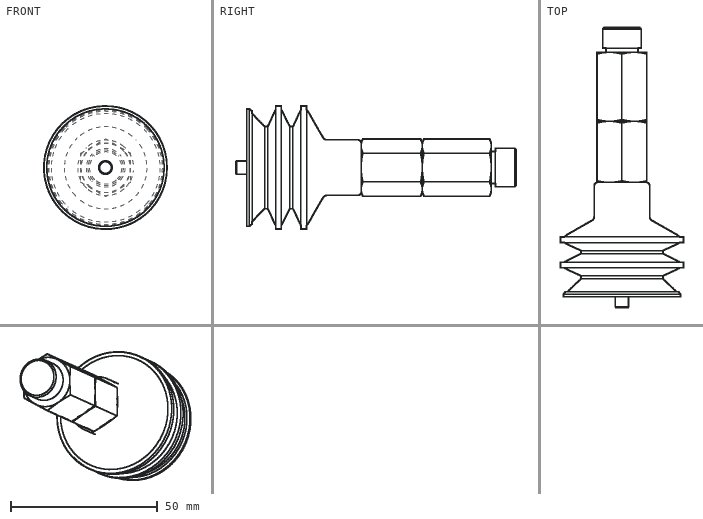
import cadquery as cq
import math

TOTAL_LENGTH = 95.6
BACK_Y = TOTAL_LENGTH / 2

HEAD_RADIUS = 13.2 / 2
HEAD_CHAMFER = 0.6
HEAD_END = 7.1
GROOVE_RADIUS = 11.0 / 2

HEX_FLATS = 17.0
HEX_CORNERS = HEX_FLATS / math.cos(math.pi / 6)
HEX_START = 8.5
HEX_JOINT = 32.0
HEX_END = 52.8
HEX_CHAMFER_DEPTH = 0.6

NECK_RADIUS = 19.0 / 2
NECK_ROUND = 1.1
NECK_END = 65.4
NECK_BLEND = 1.3
RING_RADIUS = 42.0 / 2
RING_WIDTH = 2.0
RING_STARTS = (71.4, 80.0)
SHOULDER_RADIUS = 19.7
SHOULDER_WIDTH = 0.8
CONE_RADIUS = 18.25
UPPER_CONE_RADIUS = 18.7
WAIST_RADIUS = 14.0
WAIST_WIDTH = 1.05
WAIST_STARTS = (76.1, 84.7)

FACE = 91.8
LIP_RADIUS = 40.0 / 2
LIP_WIDTH = 0.9
LIP_CONE_RADIUS = 18.5
LIP_CONE_END = 90.0
LIP_BEVEL_RADIUS = 19.3
PIN_RADIUS = 4.6 / 2
PIN_CHAMFER = 0.3


def revolve_profile(points):
    """Revolve (radius, station) points about the Y axis."""
    outline = [(radius, BACK_Y - station) for radius, station in points]
    return cq.Workplane("XY").polyline(outline).close().revolve(360, (0, 0, 0), (0, 1, 0))


def cylinder(radius, start, end):
    return revolve_profile([(0, start), (radius, start), (radius, end), (0, end)])


def hex_nut(start, end):
    """Hexagonal prism with conically chamfered corners at both ends."""
    prism = (
        cq.Workplane("XZ", origin=(0, BACK_Y - start, 0))
        .polygon(6, HEX_CORNERS)
        .extrude(end - start)
        .rotate((0, 0, 0), (0, 1, 0), 30)
    )
    envelope = revolve_profile([
        (0, start),
        (HEX_FLATS / 2, start),
        (HEX_CORNERS / 2, start + HEX_CHAMFER_DEPTH),
        (HEX_CORNERS / 2, end - HEX_CHAMFER_DEPTH),
        (HEX_FLATS / 2, end),
        (0, end),
    ])
    return prism.intersect(envelope)


def ring_points(start, upper_cone_radius):
    """Flat outer ring between two bevelled shoulders."""
    end = start + RING_WIDTH
    return [
        (upper_cone_radius, start - SHOULDER_WIDTH),
        (SHOULDER_RADIUS, start),
        (RING_RADIUS, start),
        (RING_RADIUS, end),
        (SHOULDER_RADIUS, end),
        (CONE_RADIUS, end + SHOULDER_WIDTH),
    ]


def waist_points(start):
    return [(WAIST_RADIUS, start), (WAIST_RADIUS, start + WAIST_WIDTH)]


def bellows():
    points = [(0, HEX_END), (NECK_RADIUS, HEX_END), (NECK_RADIUS, NECK_END)]
    cone_radii = (UPPER_CONE_RADIUS, CONE_RADIUS)
    for ring_start, waist_start, cone_radius in zip(RING_STARTS, WAIST_STARTS, cone_radii):
        points += ring_points(ring_start, cone_radius)
        points += waist_points(waist_start)
    points += [
        (LIP_CONE_RADIUS, LIP_CONE_END),
        (LIP_BEVEL_RADIUS, LIP_CONE_END),
        (LIP_RADIUS, FACE - LIP_WIDTH),
        (LIP_RADIUS, FACE),
        (0, FACE),
    ]
    body = revolve_profile(points)
    body = body.faces(">Y").edges().fillet(NECK_ROUND)
    neck_root = cq.NearestToPointSelector((0, BACK_Y - NECK_END, 0))
    return body.edges(neck_root).fillet(NECK_BLEND)


head = cylinder(HEAD_RADIUS, 0, HEAD_END).faces(">Y").edges().chamfer(HEAD_CHAMFER)
groove = cylinder(GROOVE_RADIUS, HEAD_END, HEX_START)
pin = cylinder(PIN_RADIUS, FACE, TOTAL_LENGTH).faces("<Y").edges().chamfer(PIN_CHAMFER)

result = head.union(groove)
result = result.union(hex_nut(HEX_START, HEX_JOINT))
result = result.union(hex_nut(HEX_JOINT, HEX_END))
result = result.union(bellows())
result = result.union(pin)